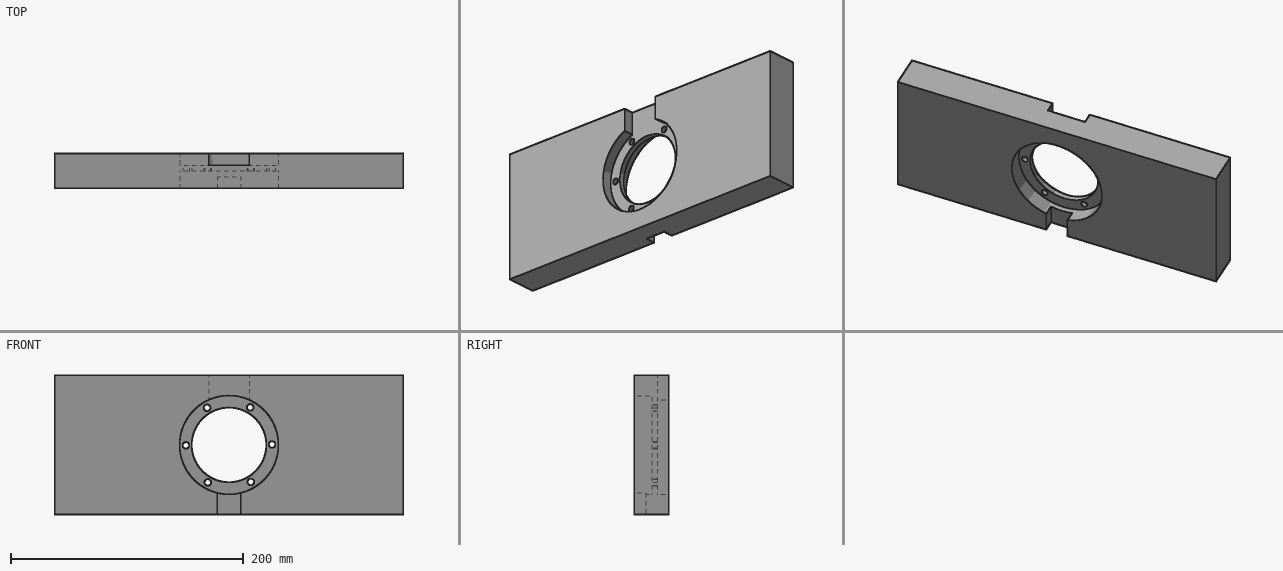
import cadquery as cq

LENGTH = 300.0
THICKNESS = 30.0
HEIGHT = 120.0

BORE_DIAMETER = 64.0
RECESS_DIAMETER = 85.0
FRONT_RECESS_DEPTH = 15.0
BACK_RECESS_DEPTH = 10.0

HOLE_COUNT = 6
HOLE_DIAMETER = 5.5
HOLE_CIRCLE_DIAMETER = 74.0
HOLE_RING_ANGLE = 0.6

FRONT_SLOT_WIDTH = 20.0
FRONT_SLOT_DEPTH = 10.0

BACK_SLOT_WIDTH = 35.0
BACK_SLOT_DEPTH = BACK_RECESS_DEPTH

FRONT_Y = -THICKNESS / 2
BACK_Y = THICKNESS / 2


def front_plane():
    """Workplane on the -Y face, with its normal pointing out of the plate."""
    return cq.Workplane("XZ", origin=(0, FRONT_Y, 0))


def make_plate():
    return cq.Workplane("XY").box(LENGTH, THICKNESS, HEIGHT)


def make_bore():
    return front_plane().circle(BORE_DIAMETER / 2).extrude(-THICKNESS)


def make_front_recess():
    return front_plane().circle(RECESS_DIAMETER / 2).extrude(-FRONT_RECESS_DEPTH)


def make_back_recess():
    back_plane = cq.Workplane("XZ", origin=(0, BACK_Y, 0))
    return back_plane.circle(RECESS_DIAMETER / 2).extrude(BACK_RECESS_DEPTH)


def make_holes():
    return (
        front_plane()
        .polarArray(HOLE_CIRCLE_DIAMETER / 2, HOLE_RING_ANGLE, 360, HOLE_COUNT)
        .circle(HOLE_DIAMETER / 2)
        .extrude(-THICKNESS)
    )


def make_front_slot():
    """Runs from the plate centre down through the bottom edge."""
    size = (FRONT_SLOT_WIDTH, FRONT_SLOT_DEPTH, HEIGHT / 2)
    centre = (0, FRONT_Y + FRONT_SLOT_DEPTH / 2, -HEIGHT / 4)
    return cq.Workplane("XY").box(*size).translate(centre)


def make_back_slot():
    """Runs from the plate centre up through the top edge."""
    size = (BACK_SLOT_WIDTH, BACK_SLOT_DEPTH, HEIGHT / 2)
    centre = (0, BACK_Y - BACK_SLOT_DEPTH / 2, HEIGHT / 4)
    return cq.Workplane("XY").box(*size).translate(centre)


result = (
    make_plate()
    .cut(make_bore())
    .cut(make_front_recess())
    .cut(make_back_recess())
    .cut(make_holes())
    .cut(make_front_slot())
    .cut(make_back_slot())
)